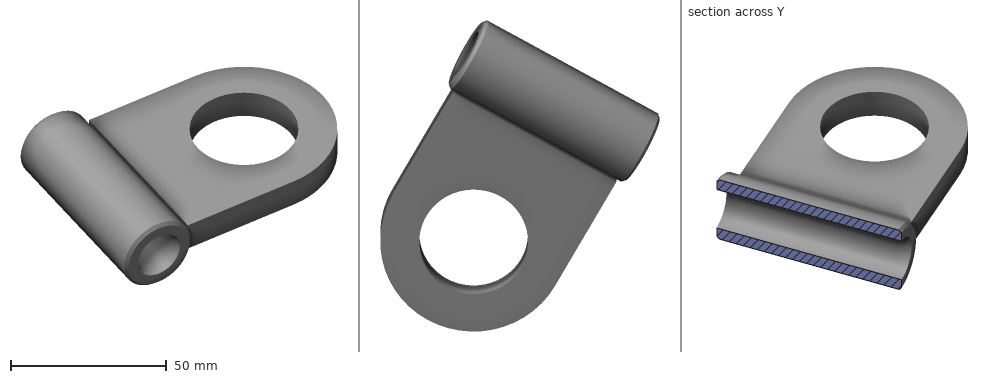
import cadquery as cq

overall_length = 95.0

tube_diameter = 25.0
tube_bore = 16.0
tube_length = 65.0
tube_chamfer = 1.0

plate_width = 60.0
stack_thickness = 10.0
plate_count = 2
eye_diameter = 35.0

tube_radius = tube_diameter / 2
plate_radius = plate_width / 2
plate_start_y = tube_radius
eye_center_y = overall_length - tube_radius - plate_radius
plate_thickness = stack_thickness / plate_count
stack_bottom_z = -stack_thickness / 2


def make_tube():
    """Straight tube with chamfered outer end edges."""
    rod = (
        cq.Workplane("YZ", origin=(-tube_length / 2, 0, 0))
        .circle(tube_radius)
        .extrude(tube_length)
        .faces("<X or >X")
        .chamfer(tube_chamfer)
    )
    bore = (
        cq.Workplane("YZ", origin=(-tube_length / 2, 0, 0))
        .circle(tube_bore / 2)
        .extrude(tube_length)
    )
    return rod.cut(bore)


def make_plate(bottom_z):
    """Flat plate touching the tube, with a round end and a concentric eye."""
    blank = (
        cq.Workplane("XY", origin=(0, 0, bottom_z))
        .moveTo(-plate_radius, plate_start_y)
        .lineTo(plate_radius, plate_start_y)
        .lineTo(plate_radius, eye_center_y)
        .threePointArc((0, eye_center_y + plate_radius), (-plate_radius, eye_center_y))
        .close()
        .extrude(plate_thickness)
    )
    eye = (
        cq.Workplane("XY", origin=(0, eye_center_y, bottom_z))
        .circle(eye_diameter / 2)
        .extrude(plate_thickness)
    )
    return blank.cut(eye)


tube = make_tube()
plates = [make_plate(stack_bottom_z + index * plate_thickness) for index in range(plate_count)]

result = cq.Compound.makeCompound([tube.val(), *[plate.val() for plate in plates]])